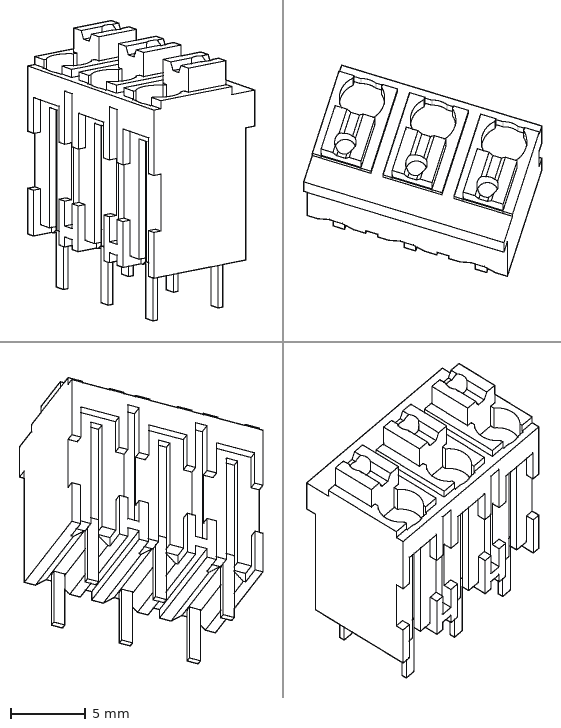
import cadquery as cq


POLE_COUNT = 3
PITCH = 5.0
POLE_SHIFT = 0.03
TOTAL_HEIGHT = 17.45

HOUSING_WIDTH = 14.1
BODY_DEPTH = 7.73
HEAD_DEPTH = 8.5
HEAD_BOTTOM = 9.2
DECK_HEIGHT = 11.71
PAD_HEIGHT = 12.27
PAD_FRONT = 0.6
PAD_BACK = 6.58
POLE_GAP = 0.84

RECESS_DEPTH = 0.6
FOOT_TOP = 3.2
APRON_BOTTOM = 7.15
GROOVE_TOP = 9.65
UPPER_GROOVE_WIDTH = 2.81
LOWER_GROOVE_WIDTH = 2.86
SLIT_DEPTH = 0.77
SLIT_BOTTOM = 1.47
SLIT_TOP = 10.85

CLEARANCE_HEIGHT = 0.7
CHANNEL_MOUTH_WIDTH = 2.53
CHANNEL_TOP_WIDTH = 0.92

PIN_WIDTH = 0.82
PIN_THICKNESS = 0.4
PIN_FRONT = 1.13
PIN_ROW_SPACING = 5.48
PIN_BOTTOM = -3.5
PIN_TOP = 1.6
PIN_SLOT_TOP = 9.07

ENTRY_DIAMETER = 3.05
ENTRY_CENTER_Y = 1.94
ENTRY_SLOT_WIDTH = 2.0
ENTRY_SLOT_FRONT = 0.5
ENTRY_FLOOR = 10.37

BUTTON_WIDTH = 2.81
BUTTON_FRONT = 3.37
BUTTON_BACK = 6.53
BUTTON_TOP = PIN_BOTTOM + TOTAL_HEIGHT
NOTCH_DEPTH = 0.54
NOTCH_TOP_WIDTH = 1.15
NOTCH_FLOOR_WIDTH = 0.61
PROBE_DIAMETER = 1.43
PROBE_CENTER_Y = 5.57
PROBE_DEPTH = 2.1

ENTRY_XS = [PITCH * (i - (POLE_COUNT - 1) / 2) for i in range(POLE_COUNT)]
POLE_XS = [x + POLE_SHIFT for x in ENTRY_XS]
GAP_XS = [x + PITCH / 2 for x in ENTRY_XS[:-1]]
PIN_FRONTS = [PIN_FRONT, PIN_FRONT + PIN_ROW_SPACING]


def block(x_center, width, y_min, y_max, z_min, z_max):
    """Box centred on x_center with the given Y and Z limits."""
    size_y = y_max - y_min
    size_z = z_max - z_min
    box = cq.Workplane("XY").box(width, size_y, size_z, centered=(True, False, False))
    return box.translate((x_center, y_min, z_min))


def trapezoid_bar(x_center, width_low, width_high, y_min, y_max, z_min, z_max):
    """Bar along Y with a symmetric trapezoid section."""
    section = [
        (x_center - width_low / 2, z_min),
        (x_center + width_low / 2, z_min),
        (x_center + width_high / 2, z_max),
        (x_center - width_high / 2, z_max),
    ]
    bar = cq.Workplane("XZ").polyline(section).close().extrude(y_min - y_max)
    return bar.translate((0, y_min, 0))


def upright_cylinder(x, y, diameter, z_min, z_max):
    cylinder = cq.Workplane("XY").circle(diameter / 2).extrude(z_max - z_min)
    return cylinder.translate((x, y, z_min))


def pin(x, y_front):
    return block(x, PIN_WIDTH, y_front, y_front + PIN_THICKNESS, PIN_BOTTOM, PIN_TOP)


def button_blank(x):
    return block(x, BUTTON_WIDTH, BUTTON_FRONT, BUTTON_BACK, ENTRY_FLOOR, BUTTON_TOP)


def button(x):
    """Push button with a screwdriver notch and a probe hole in its top."""
    notch = trapezoid_bar(
        x, NOTCH_FLOOR_WIDTH, NOTCH_TOP_WIDTH,
        BUTTON_FRONT, BUTTON_BACK, BUTTON_TOP - NOTCH_DEPTH, BUTTON_TOP,
    )
    probe_hole = upright_cylinder(x, PROBE_CENTER_Y, PROBE_DIAMETER, BUTTON_TOP - PROBE_DEPTH, BUTTON_TOP)
    return button_blank(x).cut(notch).cut(probe_hole)


def housing_envelope():
    """Side profile swept across the full width."""
    profile = [
        (0, 0),
        (BODY_DEPTH, 0),
        (BODY_DEPTH, HEAD_BOTTOM),
        (HEAD_DEPTH, HEAD_BOTTOM),
        (HEAD_DEPTH, DECK_HEIGHT),
        (PAD_BACK, DECK_HEIGHT),
        (PAD_BACK, PAD_HEIGHT),
        (PAD_FRONT, PAD_HEIGHT),
        (PAD_FRONT, DECK_HEIGHT),
        (0, DECK_HEIGHT),
        (0, APRON_BOTTOM),
        (RECESS_DEPTH, APRON_BOTTOM),
        (RECESS_DEPTH, FOOT_TOP),
        (0, FOOT_TOP),
    ]
    return cq.Workplane("YZ").polyline(profile).close().extrude(HOUSING_WIDTH / 2, both=True)


def pole_gap_cuts(x):
    """Cuts between two poles: pad gap, front slit and underside notch."""
    pad_gap = block(x, POLE_GAP, 0, HEAD_DEPTH, DECK_HEIGHT, PAD_HEIGHT)
    slit = block(x, POLE_GAP, 0, SLIT_DEPTH, SLIT_BOTTOM, SLIT_TOP)
    underside_notch = block(x, POLE_GAP, 0, BODY_DEPTH, 0, CLEARANCE_HEIGHT)
    return [pad_gap, slit, underside_notch]


def front_groove_cuts(x):
    """Stepped groove in the front of a pole, with the slot in front of its pin."""
    upper_groove = block(x, UPPER_GROOVE_WIDTH, 0, RECESS_DEPTH, APRON_BOTTOM, GROOVE_TOP)
    lower_groove = block(x, LOWER_GROOVE_WIDTH, 0, RECESS_DEPTH, 0, FOOT_TOP)
    pin_slot = block(x, PIN_WIDTH, 0, PIN_FRONT, 0, PIN_SLOT_TOP)
    return [upper_groove, lower_groove, pin_slot]


def underside_cuts(x):
    """Pocket around the front pin and the tapered channel running to the back."""
    pocket = block(x, LOWER_GROOVE_WIDTH, 0, PIN_FRONT + PIN_THICKNESS, 0, CLEARANCE_HEIGHT)
    channel = trapezoid_bar(
        x, CHANNEL_MOUTH_WIDTH, CHANNEL_TOP_WIDTH, 0, BODY_DEPTH, 0, CLEARANCE_HEIGHT
    )
    return [pocket, channel]


def wire_entry_cuts(x):
    """Round entry joined to a straight slot that runs back to the button."""
    bore = upright_cylinder(x, ENTRY_CENTER_Y, ENTRY_DIAMETER, ENTRY_FLOOR, PAD_HEIGHT)
    slot = block(x, ENTRY_SLOT_WIDTH, ENTRY_SLOT_FRONT, BUTTON_FRONT, ENTRY_FLOOR, PAD_HEIGHT)
    return [bore, slot]


def make_housing():
    cuts = []
    for x in GAP_XS:
        cuts += pole_gap_cuts(x)
    for x in ENTRY_XS:
        cuts += wire_entry_cuts(x)
    for x in POLE_XS:
        cuts += front_groove_cuts(x)
        cuts += underside_cuts(x)
        cuts.append(button_blank(x))
        cuts += [pin(x, y_front) for y_front in PIN_FRONTS]
    body = housing_envelope()
    for cut in cuts:
        body = body.cut(cut)
    return body


housing = make_housing()
buttons = [button(x) for x in POLE_XS]
pins = [pin(x, y_front) for x in POLE_XS for y_front in PIN_FRONTS]

bodies = [housing, *buttons, *pins]
result = cq.Compound.makeCompound([body.solids().val() for body in bodies])